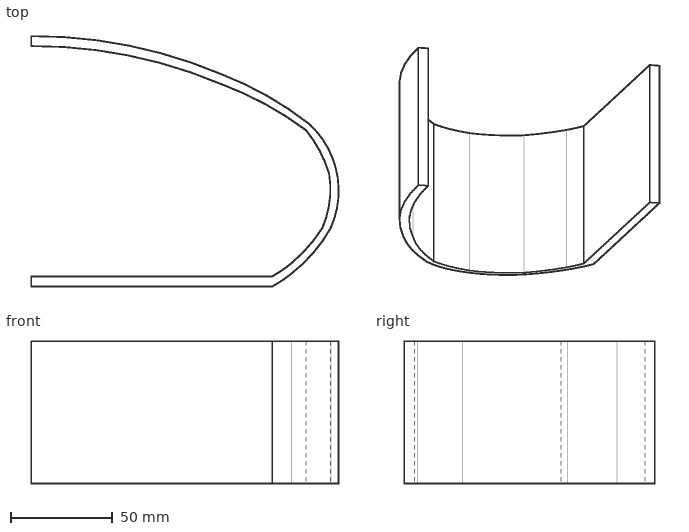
import cadquery as cq

height_y = 123.07
width_z = 70.0
wall = 5.0

outer_upper_end = (0, height_y)
outer_shoulder = (93.3, 104.4)
outer_nose_start = (136.4, 80.0)
outer_nose_end = (147.0, 28.6)
outer_chin = (127.7, 6.3)
outer_leg_corner = (118.3, 0)
outer_leg_end = (0, 0)

inner_leg_end = (0, wall)
inner_leg_corner = (118.1, wall)
inner_chin = (127.6, 11.4)
inner_nose_end = (142.9, 28.8)
inner_nose_middle = (146.2, 55.5)
inner_nose_start = (134.9, 76.8)
inner_shoulder = (outer_shoulder[0], outer_shoulder[1] - wall)
inner_upper_end = (0, height_y - wall)

upper_radius = 236.0
shoulder_radius = 168.0
outer_nose_radius = 44.4
inner_nose_upper_radius = 62.0
inner_nose_lower_radius = 48.0
lower_radius = 75.0
chin_radius = 60.0


def strip_profile():
    """Closed outline of the strip in the XY plane, drawn clockwise along the outer face first."""
    outer_face = (
        cq.Workplane("XY")
        .moveTo(*outer_upper_end)
        .radiusArc(outer_shoulder, upper_radius)
        .radiusArc(outer_nose_start, shoulder_radius)
        .radiusArc(outer_nose_end, outer_nose_radius)
        .radiusArc(outer_chin, lower_radius)
        .radiusArc(outer_leg_corner, chin_radius)
        .lineTo(*outer_leg_end)
    )
    return (
        outer_face
        .lineTo(*inner_leg_end)
        .lineTo(*inner_leg_corner)
        .radiusArc(inner_chin, -chin_radius)
        .radiusArc(inner_nose_end, -lower_radius)
        .radiusArc(inner_nose_middle, -inner_nose_lower_radius)
        .radiusArc(inner_nose_start, -inner_nose_upper_radius)
        .radiusArc(inner_shoulder, -shoulder_radius)
        .radiusArc(inner_upper_end, -upper_radius)
        .close()
    )


result = strip_profile().extrude(width_z)